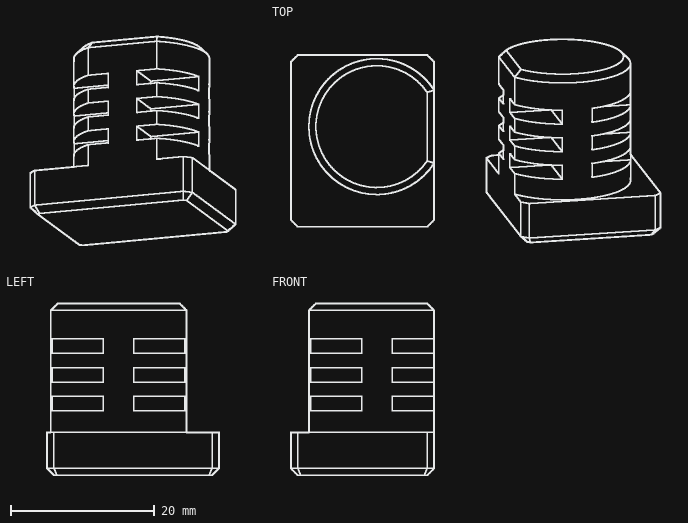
import cadquery as cq

base_length_x = 20.0
base_length_y = 24.0
base_height = 6.0
total_height = 24.0
chamfer = 0.98

plug_radius = 9.48
plug_offset = 2.0
plug_height = total_height - base_height

row_count = 3
row_height = 2.02
row_pitch = 4.0
first_row_gap = 3.0
core_width = 4.25


def make_base():
    block = cq.Workplane("XY").box(
        base_length_x, base_length_y, base_height, centered=(True, True, False)
    )
    return block.edges("|Z").chamfer(chamfer).faces("<Z").edges().chamfer(chamfer)


def make_plug():
    cylinder = (
        cq.Workplane("XY", origin=(plug_offset, plug_offset, base_height))
        .circle(plug_radius)
        .extrude(plug_height)
    )
    flat_limit = cq.Workplane("XY").box(
        base_length_x, 2 * base_length_y, total_height, centered=(True, True, False)
    )
    return cylinder.intersect(flat_limit).faces(">Z").edges().chamfer(chamfer)


def make_pocket_row(bottom):
    """Four square-cornered cutters around the cross-shaped core."""
    pocket_size = plug_radius
    pocket_spacing = core_width + pocket_size
    return (
        cq.Workplane("XY", origin=(plug_offset, plug_offset, bottom))
        .rarray(pocket_spacing, pocket_spacing, 2, 2)
        .rect(pocket_size, pocket_size)
        .extrude(row_height)
    )


plug = make_plug()
for row in range(row_count):
    plug = plug.cut(make_pocket_row(base_height + first_row_gap + row * row_pitch))

result = make_base().union(plug)